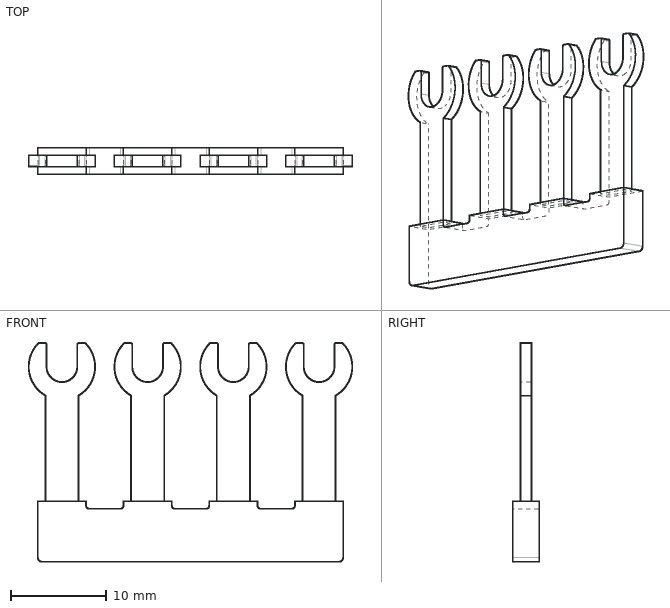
import cadquery as cq
import math

total_height = 23.0
fork_count = 4
fork_pitch = 9.0

housing_thickness = 2.8
housing_height = 6.4
land_width = 5.1
notch_width = fork_pitch - land_width
notch_depth = 0.8
notch_floor_radius = 0.3
bottom_corner_radius = 0.5
housing_length = (fork_count - 1) * fork_pitch + land_width

fork_thickness = 1.2
shank_width = 3.5
head_radius = 3.5
slot_width = 3.2
slot_radius = slot_width / 2
tip_rise = 2.5
tip_corner_radius = 0.2
head_center_z = total_height - tip_rise
tip_half_width = math.sqrt(head_radius**2 - tip_rise**2)
shank_half_width = shank_width / 2
neck_drop = math.sqrt(head_radius**2 - shank_half_width**2)


def fork_position(index):
    """X of a fork centre, the row being centred on X = 0."""
    return (index - (fork_count - 1) / 2) * fork_pitch


def make_notch(center_x):
    """Cutter for one gap between lands, with rounded floor corners."""
    return (
        cq.Workplane("XY")
        .box(notch_width, housing_thickness, 2 * notch_depth)
        .edges("|Y and <Z")
        .fillet(notch_floor_radius)
        .translate((center_x, 0, housing_height))
    )


def make_housing():
    """Long block with rounded lower ends and a notch between each pair of forks."""
    housing = (
        cq.Workplane("XY")
        .box(housing_length, housing_thickness, housing_height, centered=(True, True, False))
        .edges("|Y and <Z")
        .fillet(bottom_corner_radius)
    )
    for index in range(fork_count - 1):
        notch_x = (fork_position(index) + fork_position(index + 1)) / 2
        housing = housing.cut(make_notch(notch_x))
    return housing


def make_fork(center_x):
    """Flat open-ended fork: a straight shank standing on its land and a round slotted head."""
    neck_z = head_center_z - neck_drop
    fork = (
        cq.Workplane("XZ")
        .moveTo(-shank_half_width, housing_height)
        .lineTo(-shank_half_width, neck_z)
        .threePointArc((-head_radius, head_center_z), (-tip_half_width, total_height))
        .lineTo(-slot_radius, total_height)
        .lineTo(-slot_radius, head_center_z)
        .threePointArc((0, head_center_z - slot_radius), (slot_radius, head_center_z))
        .lineTo(slot_radius, total_height)
        .lineTo(tip_half_width, total_height)
        .threePointArc((head_radius, head_center_z), (shank_half_width, neck_z))
        .lineTo(shank_half_width, housing_height)
        .close()
        .extrude(fork_thickness / 2, both=True)
    )
    tip_corners = fork.faces(">Z").edges("|Y")
    return tip_corners.fillet(tip_corner_radius).translate((center_x, 0, 0))


housing = make_housing()
forks = [make_fork(fork_position(index)) for index in range(fork_count)]

result = cq.Compound.makeCompound([housing.val(), *[fork.val() for fork in forks]])